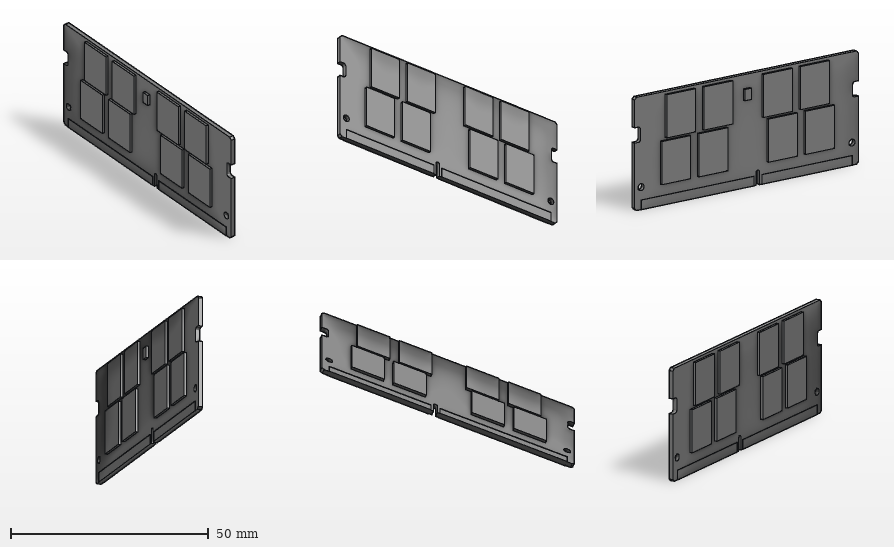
import cadquery as cq

BOARD_WIDTH = 69.6
BOARD_HEIGHT = 30.0
BOARD_THICKNESS = 1.2
CORNER_CHAMFER = 0.6
OVERALL_THICKNESS = 2.5

LATCH_DEPTH = 1.8
LATCH_HEIGHT = 4.05
LATCH_CENTER_Z = 20.0
LATCH_RADIUS = 0.7

HOLE_DIAMETER = 1.8
HOLE_X = 32.8
HOLE_Z = 6.0

KEY_X = 3.5
KEY_WIDTH = 1.05
KEY_HEIGHT = 4.0

CONTACT_END_X = 32.8
CONTACT_KEY_GAP = 1.25
CONTACT_HEIGHT = 2.6
CONTACT_RAISE = 0.1

CHIP_WIDTH = 9.0
CHIP_HEIGHT = 11.4
CHIP_PITCH = 11.55
UPPER_ROW_Z = 23.5
LOWER_ROW_Z = 11.4
UPPER_PAIR_X = 15.0
LOWER_PAIR_X = 16.55

SMALL_CHIP_WIDTH = 2.0
SMALL_CHIP_HEIGHT = 3.0
SMALL_CHIP_Z = 24.8


def block(width, thickness, height, x, z):
    """Box centered on the mid-plane of the board, at (x, z)."""
    return cq.Workplane("XY").box(width, thickness, height).translate((x, 0, z))


def make_board():
    board = block(BOARD_WIDTH, BOARD_THICKNESS, BOARD_HEIGHT, 0, BOARD_HEIGHT / 2)
    return board.edges("|Y").chamfer(CORNER_CHAMFER)


def latch_notch(side):
    """Side notch with rounded inner corners; side is -1 or +1."""
    notch = block(2 * LATCH_DEPTH, BOARD_THICKNESS, LATCH_HEIGHT, side * BOARD_WIDTH / 2, LATCH_CENTER_Z)
    return notch.edges("|Y").fillet(LATCH_RADIUS)


def corner_hole(side):
    hole = cq.Workplane("XZ").center(side * HOLE_X, HOLE_Z).circle(HOLE_DIAMETER / 2)
    return hole.extrude(BOARD_THICKNESS / 2, both=True)


def key_slot():
    """Slot open at the bottom edge, with a semicircular upper end."""
    slot = cq.Workplane("XZ").center(KEY_X, 0).slot2D(2 * KEY_HEIGHT, KEY_WIDTH, 90)
    return slot.extrude(BOARD_THICKNESS / 2, both=True)


def contact_strip(x_start, x_end):
    """Strip that stands proud of both faces along the bottom edge."""
    thickness = BOARD_THICKNESS + 2 * CONTACT_RAISE
    return block(x_end - x_start, thickness, CONTACT_HEIGHT, (x_start + x_end) / 2, CONTACT_HEIGHT / 2)


def chip_pair(x, z):
    """Two neighboring chip positions, each with a chip on both faces."""
    left_chip = block(CHIP_WIDTH, OVERALL_THICKNESS, CHIP_HEIGHT, x - CHIP_PITCH / 2, z)
    right_chip = block(CHIP_WIDTH, OVERALL_THICKNESS, CHIP_HEIGHT, x + CHIP_PITCH / 2, z)
    return left_chip.union(right_chip)


def small_chip():
    """Chip reaching from the mid-plane out to the height of the memory chips."""
    reach = OVERALL_THICKNESS / 2
    chip = block(SMALL_CHIP_WIDTH, reach, SMALL_CHIP_HEIGHT, 0, SMALL_CHIP_Z)
    return chip.translate((0, -reach / 2, 0))


result = make_board().cut(key_slot())
for side in (-1, 1):
    result = result.cut(latch_notch(side)).cut(corner_hole(side))
    result = result.union(chip_pair(side * UPPER_PAIR_X, UPPER_ROW_Z))
    result = result.union(chip_pair(side * LOWER_PAIR_X, LOWER_ROW_Z))

result = result.union(contact_strip(-CONTACT_END_X, KEY_X - CONTACT_KEY_GAP))
result = result.union(contact_strip(KEY_X + CONTACT_KEY_GAP, CONTACT_END_X))
result = result.union(small_chip())